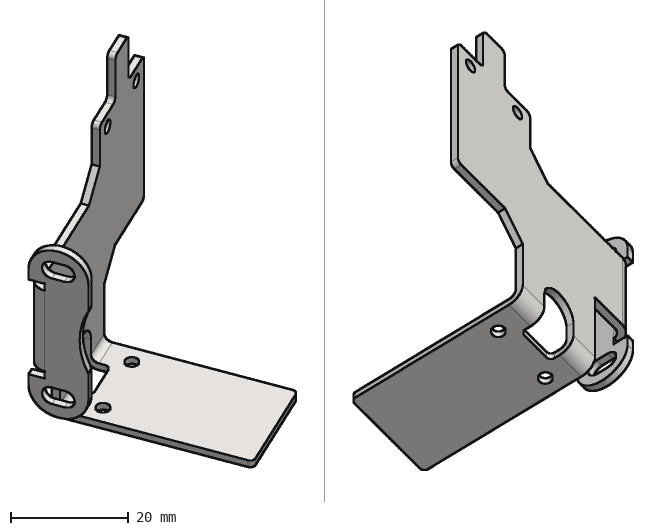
import cadquery as cq

thickness = 1.5
inner_bend = 1.45
outer_bend = inner_bend + thickness
corner_radius = 1.0

total_length = 37.05
total_width = 48.5
total_height = 61.05

plate_width = 20.0
plate_top = 51.05
plate_inner_y = total_width - plate_width
plate_center_y = total_width - plate_width / 2
tab_width = 6.0
tab_left_y = plate_center_y + tab_width / 2
tab_right_y = plate_center_y - tab_width / 2

arm_height = 18.1
arm_bottom = 19.0
arm_top = arm_bottom + arm_height
arm_center_z = arm_bottom + arm_height / 2
bevel = 4.9

leg_width = plate_width
leg_right_y = 10.5
leg_left_y = leg_right_y + leg_width
leg_center_y = leg_right_y + leg_width / 2
notch_width = 8.0
notch_top = 10.45
notch_reach = 5.05

hole_diameter = 2.5
hole_spacing = 13.0
wall_hole_z = 48.05
floor_hole_x = 8.0

ear_width = 11.0
ear_height = 37.05
ear_radius = ear_width / 2
ear_bottom = arm_center_z - ear_height / 2
relief = thickness
slot_length = 6.0
slot_height = 3.65
slot_spacing = 28.0
waist_depth = 1.6
waist_half_height = 6.9


def slab(x_range, y_range, z_range):
    """Box spanning the given ranges."""
    ranges = (x_range, y_range, z_range)
    sizes = [high - low for low, high in ranges]
    corner = tuple(low for low, high in ranges)
    return cq.Workplane("XY").box(*sizes, centered=False).translate(corner)


def quarter_bend(plane, start, length):
    """Quarter ring that is tangent to both axes of its plane."""
    ring = (
        cq.Workplane(plane)
        .center(outer_bend, outer_bend)
        .circle(outer_bend)
        .circle(inner_bend)
        .extrude(length)
    )
    quadrant = cq.Workplane(plane).rect(outer_bend, outer_bend, centered=False).extrude(length)
    return ring.intersect(quadrant).translate(start)


def hole_pair(center, direction):
    """Cutters for two through holes spaced along Y."""
    step = cq.Vector(0, hole_spacing / 2, 0)
    first, second = [
        cq.Solid.makeCylinder(hole_diameter / 2, thickness, place, direction)
        for place in (center - step, center + step)
    ]
    return cq.Workplane(first).add(second).combine()


def make_wall():
    outline = [
        (outer_bend, arm_bottom),
        (leg_right_y, arm_bottom),
        (leg_right_y, outer_bend),
        (leg_left_y, outer_bend),
        (leg_left_y, arm_bottom - bevel),
        (leg_left_y + bevel, arm_bottom),
        (total_width, arm_bottom),
        (total_width, plate_top),
        (tab_left_y, plate_top),
        (tab_left_y, total_height),
        (tab_right_y, total_height),
        (tab_right_y, plate_top),
        (plate_inner_y, plate_top),
        (plate_inner_y, arm_top + bevel),
        (plate_inner_y - bevel, arm_top),
        (outer_bend, arm_top),
    ]
    rounded_corners = [
        (total_width, arm_bottom),
        (total_width, plate_top),
        (tab_left_y, plate_top),
        (tab_left_y, total_height),
        (tab_right_y, total_height),
        (tab_right_y, plate_top),
        (plate_inner_y, plate_top),
    ]
    wall = cq.Workplane("YZ").polyline(outline).close().extrude(thickness)
    for y, z in rounded_corners:
        corner = cq.selectors.NearestToPointSelector((thickness / 2, y, z))
        wall = wall.edges("|X").edges(corner).fillet(corner_radius)
    holes = hole_pair(cq.Vector(0, plate_center_y, wall_hole_z), cq.Vector(1, 0, 0))
    return wall.cut(holes)


def make_floor():
    floor = slab((outer_bend, total_length), (leg_right_y, leg_left_y), (0, thickness))
    floor = floor.edges("|Z and >X").fillet(corner_radius)
    holes = hole_pair(cq.Vector(floor_hole_x, leg_center_y, thickness), cq.Vector(0, 0, -1))
    return floor.cut(holes)


def make_leg_notch():
    """Opening through the lower bend: round-topped in the wall, square in the floor."""
    notch_radius = notch_width / 2
    notch_right_y = leg_center_y - notch_radius
    notch_left_y = leg_center_y + notch_radius
    arch_z = notch_top - notch_radius
    wall_opening = (
        cq.Workplane("YZ")
        .moveTo(notch_right_y, 0)
        .lineTo(notch_right_y, arch_z)
        .threePointArc((leg_center_y, notch_top), (notch_left_y, arch_z))
        .lineTo(notch_left_y, 0)
        .close()
        .extrude(outer_bend)
    )
    floor_opening = slab((0, notch_reach), (notch_right_y, notch_left_y), (0, outer_bend))
    return wall_opening.union(floor_opening.edges("|Z and >X").fillet(corner_radius))


def make_ear():
    lower_z = ear_bottom + ear_radius
    upper_z = ear_bottom + ear_height - ear_radius
    ear = (
        cq.Workplane("XZ")
        .moveTo(0, lower_z)
        .threePointArc((ear_radius, ear_bottom), (ear_width, lower_z))
        .lineTo(ear_width, arm_center_z - waist_half_height)
        .threePointArc(
            (ear_width - waist_depth, arm_center_z),
            (ear_width, arm_center_z + waist_half_height),
        )
        .lineTo(ear_width, upper_z)
        .threePointArc((ear_radius, ear_bottom + ear_height), (0, upper_z))
        .close()
        .extrude(-thickness)
    )
    slots = (
        cq.Workplane("XZ")
        .center(ear_radius, arm_center_z)
        .rarray(0.6, slot_spacing, 1, 2)
        .slot2D(slot_length, slot_height)
        .extrude(-thickness)
    )
    bend_relief = slab((0, outer_bend), (0, thickness), (arm_bottom - relief, arm_top + relief))
    return ear.cut(slots).cut(bend_relief)


floor_bend = quarter_bend("XZ", (0, leg_left_y, 0), leg_width)
ear_bend = quarter_bend("XY", (0, 0, arm_bottom), arm_height)

result = (
    make_wall()
    .union(floor_bend)
    .union(make_floor())
    .cut(make_leg_notch())
    .union(ear_bend)
    .union(make_ear())
)